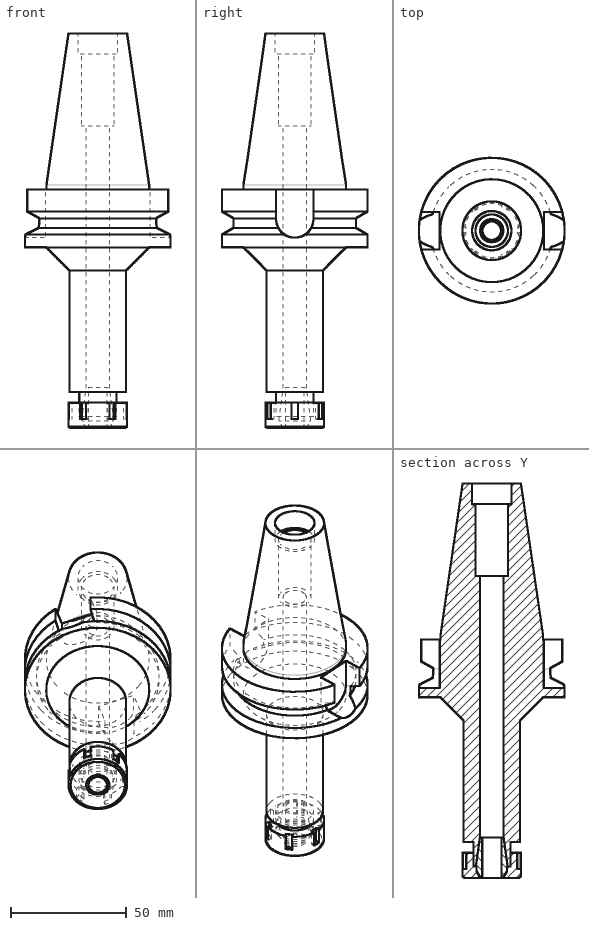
import cadquery as cq
import math


GAUGE_DIA = 44.45
TAPER_RATIO = 7 / 24
SHANK_TOP_Z = 65.4
SHANK_TOP_DIA = GAUGE_DIA - SHANK_TOP_Z * TAPER_RATIO

FLANGE_DIA = 63.0
FLANGE_TOP_Z = -2.0
FLANGE_BOTTOM_Z = -27.0
GROOVE_DIA = 53.0
GROOVE_CENTRE_Z = -16.5
GROOVE_FLOOR_WIDTH = 4.1
GROOVE_FLANK_ANGLE = 30.0
GROOVE_FLANK_HEIGHT = (FLANGE_DIA - GROOVE_DIA) / 2 * math.tan(math.radians(GROOVE_FLANK_ANGLE))

KEYWAY_WIDTH = 16.1
KEYWAY_FACE_X = 22.5
KEYWAY_BOTTOM_Z = -22.8
KEYWAY_DEPTH = FLANGE_DIA / 2 - KEYWAY_FACE_X

NECK_DIA = 24.5
NECK_TOP_Z = -37.0
NECK_BOTTOM_Z = -89.5
NECK_CONE_DIA = NECK_DIA + 2 * (FLANGE_BOTTOM_Z - NECK_TOP_Z)

STUB_DIA = 16.2
STUB_BOTTOM_Z = -100.0

MOUTH_DIA = 17.0
MOUTH_DEPTH = 9.0
DRAWBAR_DIA = 14.0
DRAWBAR_DEPTH = 40.0
COOLANT_DIA = 10.0

COLLET_DIA = 13.5
COLLET_ANGLE = 8.0
COLLET_BORE_DIA = 8.0
COLLET_LENGTH_IN_SEAT = (COLLET_DIA - COOLANT_DIA) / 2 / math.tan(math.radians(COLLET_ANGLE))
COLLET_BACK_Z = STUB_BOTTOM_Z + COLLET_LENGTH_IN_SEAT
COLLET_COLLAR_LENGTH = 2.0
COLLET_COLLAR_Z = STUB_BOTTOM_Z - COLLET_COLLAR_LENGTH
COLLET_NOSE_DIA = 10.0

NUT_DIA = 25.4
NUT_TOP_Z = -94.0
NUT_BOTTOM_Z = -105.0
NUT_CHAMFER_WIDTH = 1.0
NUT_CHAMFER_HEIGHT = 0.7
NUT_SLOT_COUNT = 6
NUT_SLOT_WIDTH = 3.0
NUT_SLOT_DEPTH = 1.6
NUT_SLOT_HEIGHT = 7.0


def revolve_profile(stations):
    """Solid of revolution about Z from (diameter, z) stations, closed along the axis."""
    outline = [(diameter / 2, z) for diameter, z in stations]
    first_z = outline[0][1]
    last_z = outline[-1][1]
    points = [(0, first_z), *outline, (0, last_z)]
    return cq.Workplane("XZ").polyline(points).close().revolve(360, (0, 0, 0), (0, 1, 0))


def cylinder(diameter, top_z, bottom_z):
    return cq.Workplane("XY").workplane(offset=bottom_z).circle(diameter / 2).extrude(top_z - bottom_z)


def make_keyway():
    """Cutter for the keyway on the +X side."""
    radius = KEYWAY_WIDTH / 2
    arc_centre_z = KEYWAY_BOTTOM_Z + radius
    return (
        cq.Workplane("YZ")
        .workplane(offset=KEYWAY_FACE_X)
        .moveTo(-radius, FLANGE_TOP_Z)
        .lineTo(-radius, arc_centre_z)
        .threePointArc((0, KEYWAY_BOTTOM_Z), (radius, arc_centre_z))
        .lineTo(radius, FLANGE_TOP_Z)
        .close()
        .extrude(KEYWAY_DEPTH)
    )


def make_collet_envelope():
    """Outside of the collet, also used to cut its seat in the holder and in the nut."""
    return revolve_profile([
        (COOLANT_DIA, COLLET_BACK_Z),
        (COLLET_DIA, STUB_BOTTOM_Z),
        (COLLET_DIA, COLLET_COLLAR_Z),
        (COLLET_NOSE_DIA, NUT_BOTTOM_Z),
    ])


def make_holder():
    floor_top_z = GROOVE_CENTRE_Z + GROOVE_FLOOR_WIDTH / 2
    floor_bottom_z = GROOVE_CENTRE_Z - GROOVE_FLOOR_WIDTH / 2
    body = revolve_profile([
        (SHANK_TOP_DIA, SHANK_TOP_Z),
        (GAUGE_DIA, 0),
        (GAUGE_DIA, FLANGE_TOP_Z),
        (FLANGE_DIA, FLANGE_TOP_Z),
        (FLANGE_DIA, floor_top_z + GROOVE_FLANK_HEIGHT),
        (GROOVE_DIA, floor_top_z),
        (GROOVE_DIA, floor_bottom_z),
        (FLANGE_DIA, floor_bottom_z - GROOVE_FLANK_HEIGHT),
        (FLANGE_DIA, FLANGE_BOTTOM_Z),
        (NECK_CONE_DIA, FLANGE_BOTTOM_Z),
        (NECK_DIA, NECK_TOP_Z),
        (NECK_DIA, NECK_BOTTOM_Z),
        (STUB_DIA, NECK_BOTTOM_Z),
        (STUB_DIA, STUB_BOTTOM_Z),
    ])
    keyway = make_keyway()
    for angle in (0, 180):
        body = body.cut(keyway.rotate((0, 0, 0), (0, 0, 1), angle))
    body = body.cut(cylinder(MOUTH_DIA, SHANK_TOP_Z, SHANK_TOP_Z - MOUTH_DEPTH))
    body = body.cut(cylinder(DRAWBAR_DIA, SHANK_TOP_Z, SHANK_TOP_Z - DRAWBAR_DEPTH))
    body = body.cut(cylinder(COOLANT_DIA, SHANK_TOP_Z, COLLET_BACK_Z))
    return body.cut(make_collet_envelope())


def make_collet():
    return make_collet_envelope().cut(cylinder(COLLET_BORE_DIA, COLLET_BACK_Z, NUT_BOTTOM_Z))


def make_nut():
    nut = revolve_profile([
        (NUT_DIA, NUT_TOP_Z),
        (NUT_DIA, NUT_BOTTOM_Z + NUT_CHAMFER_HEIGHT),
        (NUT_DIA - 2 * NUT_CHAMFER_WIDTH, NUT_BOTTOM_Z),
    ])
    nut = nut.cut(cylinder(STUB_DIA, NUT_TOP_Z, STUB_BOTTOM_Z))
    nut = nut.cut(make_collet_envelope())
    slot_floor_x = NUT_DIA / 2 - NUT_SLOT_DEPTH
    slot = (
        cq.Workplane("XY")
        .box(2 * NUT_SLOT_DEPTH, NUT_SLOT_WIDTH, NUT_SLOT_HEIGHT, centered=(False, True, False))
        .translate((slot_floor_x, 0, NUT_TOP_Z - NUT_SLOT_HEIGHT))
    )
    for index in range(NUT_SLOT_COUNT):
        nut = nut.cut(slot.rotate((0, 0, 0), (0, 0, 1), index * 360 / NUT_SLOT_COUNT))
    return nut


holder = make_holder()
collet = make_collet()
nut = make_nut()

result = cq.Compound.makeCompound([holder.val(), collet.val(), nut.val()])